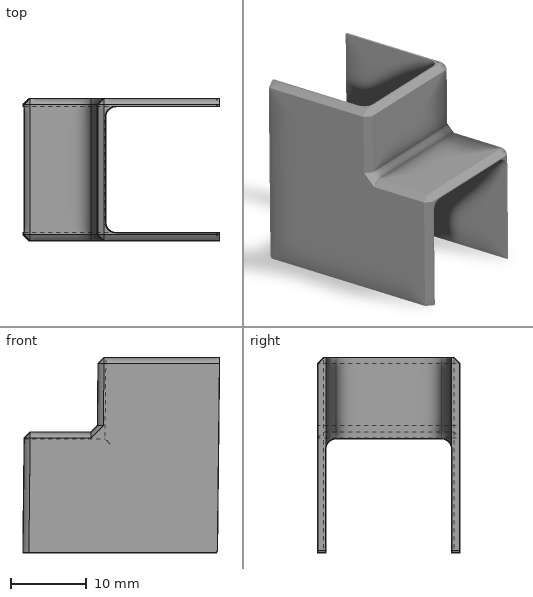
import cadquery as cq
import math

length = 26.07
width = 18.85
height = 25.9
lean_angle = 0.64

step_height = 16.03
step_top_x = 9.95
inner_corner_bevel = 0.8
edge_chamfer = 0.8
foot_bevel_run = 0.13
foot_bevel_rise = 0.3

side_wall = 1.1
ceiling_height = 15.1
channel_top_x = 11.0
channel_fillet = 1.35
overrun = 2.6


def lean_x(x_at_top, z):
    """X at height z on a leaning line that reaches x_at_top at full height."""
    return x_at_top - (height - z) * math.tan(math.radians(lean_angle))


def centred_prism(profile, depth):
    """Extrude an XZ outline symmetrically about the XZ plane."""
    return cq.Workplane("XZ").polyline(profile).close().extrude(depth / 2, both=True)


def side_edges(prism, path, depth):
    """Edges of a centred prism along an open outline path, on both side faces."""
    edges = []
    for (x1, z1), (x2, z2) in zip(path, path[1:]):
        for y in (-depth / 2, depth / 2):
            middle = ((x1 + x2) / 2, y, (z1 + z2) / 2)
            edges += prism.edges(cq.NearestToPointSelector(middle)).vals()
    return edges


def make_body():
    """L-shaped block with bevelled outer edges; its two open ends stay sharp."""
    left_top_x = height * math.tan(math.radians(lean_angle))
    outline = [
        (0, 0),
        (lean_x(left_top_x, step_height), step_height),
        (lean_x(step_top_x, step_height), step_height),
        (step_top_x, height),
        (length, height),
        (lean_x(length, foot_bevel_rise), foot_bevel_rise),
        (lean_x(length, 0) - foot_bevel_run, 0),
    ]
    block = centred_prism(outline, width)

    bevelled_edges = []
    for x, z in (outline[1], outline[3]):
        bevelled_edges += block.edges(cq.NearestToPointSelector((x, 0, z))).vals()
    bevelled_edges += side_edges(block, outline[:5], width)
    return block.newObject(bevelled_edges).chamfer(edge_chamfer)


def make_corner_bevel():
    """Sloping fill in the step corner, widening as the side chamfers fall away."""
    def triangle(y, drop):
        left_x = lean_x(step_top_x, step_height) - inner_corner_bevel
        low_z = step_height - drop
        high_z = step_height + inner_corner_bevel
        right_x = lean_x(step_top_x, high_z) + drop
        points = [(left_x, y, low_z), (right_x, y, low_z), (right_x, y, high_z)]
        return cq.Wire.makePolygon([cq.Vector(*p) for p in points], close=True)

    half_width = width / 2
    flat_half_width = half_width - edge_chamfer
    sections = [
        triangle(-half_width, edge_chamfer),
        triangle(-flat_half_width, 0),
        triangle(flat_half_width, 0),
        triangle(half_width, edge_chamfer),
    ]
    return cq.Workplane(obj=cq.Solid.makeLoft(sections, True))


def make_channel():
    """Cavity open at the lower left end, bottom, right end and top."""
    corner_x = lean_x(channel_top_x, ceiling_height)
    above = height + overrun
    outline = [
        (-overrun, -overrun),
        (-overrun, ceiling_height),
        (corner_x, ceiling_height),
        (lean_x(channel_top_x, above), above),
        (length + overrun, above),
        (length + overrun, -overrun),
    ]
    channel_width = width - 2 * side_wall
    channel = centred_prism(outline, channel_width)
    rounded_edges = side_edges(channel, outline[1:4], channel_width)
    return channel.newObject(rounded_edges).fillet(channel_fillet)


result = make_body().union(make_corner_bevel()).clean().cut(make_channel())